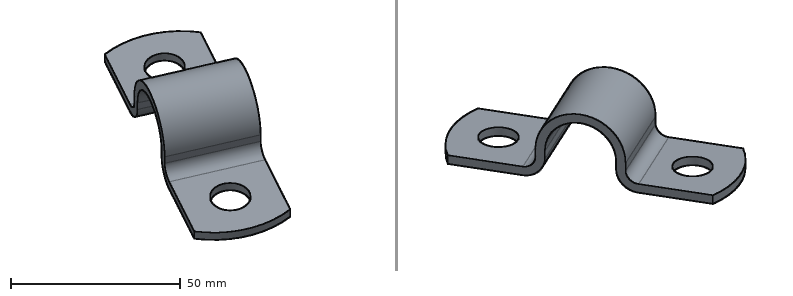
import cadquery as cq
import math

length = 90.0
width = 30.0
height = 23.5
thickness = 3.0
crown_inner_radius = 11.0
bend_inner_radius = 4.0
hole_diameter = 12.0
hole_spacing = 60.0
end_radius = 30.0

crown_outer_radius = crown_inner_radius + thickness
bend_outer_radius = bend_inner_radius + thickness
crown_center_z = height - crown_outer_radius
bend_center_x = crown_outer_radius + bend_inner_radius
bend_center_z = bend_outer_radius
half_length = length / 2
half_width = width / 2
end_corner_x = half_length - end_radius + math.sqrt(end_radius**2 - half_width**2)


def bend_middle(radius, side):
    """Point halfway round a foot bend; side is -1 for left, +1 for right."""
    offset = radius * math.sqrt(0.5)
    return (side * (bend_center_x - offset), bend_center_z - offset)


def bent_strip():
    """Constant-thickness strip profile, extruded across the width."""
    profile = (
        cq.Workplane("XZ")
        .moveTo(-half_length, 0)
        .lineTo(-bend_center_x, 0)
        .threePointArc(bend_middle(bend_outer_radius, -1), (-crown_inner_radius, bend_center_z))
        .lineTo(-crown_inner_radius, crown_center_z)
        .threePointArc((0, height - thickness), (crown_inner_radius, crown_center_z))
        .lineTo(crown_inner_radius, bend_center_z)
        .threePointArc(bend_middle(bend_outer_radius, 1), (bend_center_x, 0))
        .lineTo(half_length, 0)
        .lineTo(half_length, thickness)
        .lineTo(bend_center_x, thickness)
        .threePointArc(bend_middle(bend_inner_radius, 1), (crown_outer_radius, bend_center_z))
        .lineTo(crown_outer_radius, crown_center_z)
        .threePointArc((0, height), (-crown_outer_radius, crown_center_z))
        .lineTo(-crown_outer_radius, bend_center_z)
        .threePointArc(bend_middle(bend_inner_radius, -1), (-bend_center_x, thickness))
        .lineTo(-half_length, thickness)
        .close()
    )
    return profile.extrude(half_width, both=True)


def rounded_blank():
    """Plan outline with arc ends, tall enough to trim the whole strip."""
    return (
        cq.Workplane("XY")
        .moveTo(-end_corner_x, -half_width)
        .lineTo(end_corner_x, -half_width)
        .threePointArc((half_length, 0), (end_corner_x, half_width))
        .lineTo(-end_corner_x, half_width)
        .threePointArc((-half_length, 0), (-end_corner_x, -half_width))
        .close()
        .extrude(height)
    )


def screw_holes():
    """One through hole in the middle of each foot."""
    return (
        cq.Workplane("XY")
        .pushPoints([(-hole_spacing / 2, 0), (hole_spacing / 2, 0)])
        .circle(hole_diameter / 2)
        .extrude(thickness)
    )


result = bent_strip().intersect(rounded_blank()).cut(screw_holes())